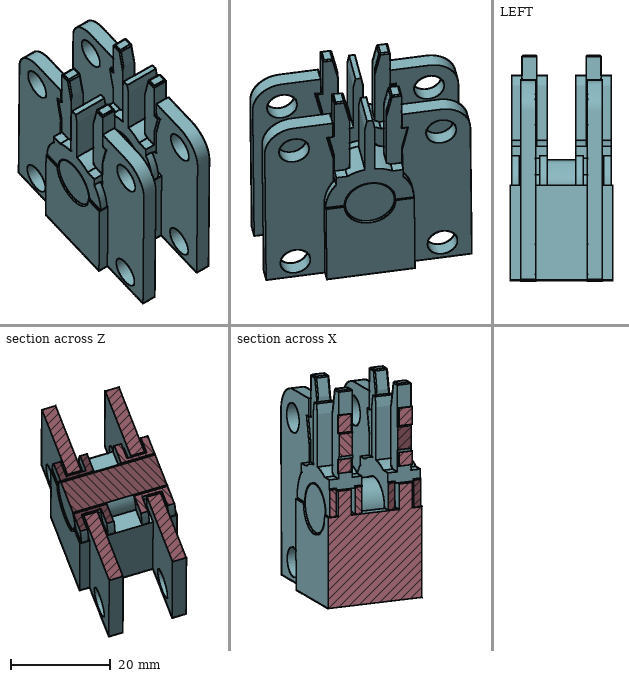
import cadquery as cq


base_tilt = 0.5
base_length = 20.6
block_width = 18.0
base_bottom = -19.1
block_top = -0.1
plate_top = 21.0
plate_thickness = 3.0
plate_offset = 6.7
screw_hole_diameter = 6.1
screw_spacing = 30.0
screw_edge = 6.0
bore_radius = 5.2

pin_radius = 10.0 / 2
pin_rise = 0.1

clip_thickness = 7.15
clip_offset = 6.45
dome_radius = 9.0
shoulder_top = 7.75
arm_outer = 6.85
arm_inner = 3.75
arm_tip_inner = 4.65
arm_top = 26.05
arm_taper_start = 22.03
arm_thickness = 3.05
arm_bevel = 0.25
barb_tip = 8.05
barb_top = 17.15
barb_root = 11.65
fin_half_width = 1.0
fin_tip_half_width = 0.6
fin_top = 22.03
fin_taper_start = 19.95
slot_width = 4.1
slot_inner = 4.75
slot_ledge = 5.45

pin_length = 2 * clip_offset + clip_thickness

clearance = 0.23
barb_clearance = 0.1

sides = (-1, 1)


def extrude_along_y(points, thickness, y_middle=0.0):
    """Prism over an XZ polygon, centred on y_middle."""
    far_face = (0, y_middle + thickness / 2, 0)
    return cq.Workplane("XZ", origin=far_face).polyline(points).close().extrude(thickness)


def box_between(x_range, y_range, z_range):
    """Box given by its lower and upper limit on each axis."""
    lows, highs = zip(x_range, y_range, z_range)
    size = [high - low for low, high in zip(lows, highs)]
    return cq.Workplane("XY").box(*size, centered=False).translate(lows)


def cylinder_along_y(radius, length, x=0.0, y_middle=0.0, z=0.0):
    """Cylinder in the Y direction, centred on (x, y_middle, z)."""
    return cq.Workplane("XZ", origin=(x, y_middle + length / 2, z)).circle(radius).extrude(length)


def mirrored(points):
    """Closed outline made of a right half, listed from bottom to top, and its mirror image."""
    return points + [(-x, z) for x, z in reversed(points)]


def make_plate(y_middle):
    """Side plate with rounded upper corners, screw holes and the opening for a clip."""
    half_width = screw_spacing / 2 + screw_edge
    plate = extrude_along_y(
        mirrored([(half_width, base_bottom), (half_width, plate_top)]), plate_thickness, y_middle
    )
    plate = plate.edges("|Y and >Z").fillet(screw_edge)

    hole_top = plate_top - screw_edge
    for z in (hole_top, hole_top - screw_spacing):
        for side in sides:
            plate = plate.cut(
                cylinder_along_y(
                    screw_hole_diameter / 2, 2 * plate_thickness, side * screw_spacing / 2, y_middle, z
                )
            )

    ledge_inner = slot_inner + clearance
    ledge_top = slot_ledge - clearance
    opening_half = arm_outer + clearance
    catch_height = barb_top + barb_clearance
    opening = extrude_along_y(
        mirrored([
            (ledge_inner, block_top),
            (ledge_inner, ledge_top),
            (opening_half, ledge_top),
            (opening_half, barb_root),
            (barb_tip + clearance, catch_height),
            (opening_half, catch_height),
            (opening_half, plate_top),
        ]),
        2 * plate_thickness,
        y_middle,
    )
    return plate.cut(opening)


def make_base():
    """Block and plates in one piece, bored for the pin and tilted around the bore."""
    half_length = base_length / 2
    base = box_between(
        (-block_width / 2, block_width / 2), (-half_length, half_length), (base_bottom, block_top)
    )
    for side in sides:
        base = base.union(make_plate(side * plate_offset))
    base = base.cut(cylinder_along_y(bore_radius, 2 * base_length))
    return base.rotate((0, 0, 0), (0, 1, 0), base_tilt)


def make_arm():
    """Snap arm on the +X side, with an outward barb and a bevelled tip that tapers on its inner side."""
    arm = extrude_along_y(
        [
            (arm_inner, slot_ledge),
            (arm_outer, slot_ledge),
            (arm_outer, barb_root),
            (barb_tip, barb_top),
            (arm_outer, barb_top),
            (arm_outer, arm_top),
            (arm_tip_inner, arm_top),
            (arm_inner, arm_taper_start),
        ],
        arm_thickness,
    )
    taper_middle = ((arm_inner + arm_tip_inner) / 2, 0, (arm_taper_start + arm_top) / 2)
    taper_face = arm.faces(cq.NearestToPointSelector(taper_middle))
    tip_edges = arm.faces(">Z").edges().add(taper_face.edges("not |Y"))
    return tip_edges.chamfer(arm_bevel)


def make_clip(y_middle):
    """Half-round saddle over the pin with a centre fin, two snap arms and plate slots."""
    dome = cylinder_along_y(dome_radius, clip_thickness)
    shoulders = extrude_along_y(
        mirrored([(arm_outer, 0), (arm_outer, shoulder_top)]), clip_thickness
    )
    fin = extrude_along_y(
        mirrored([
            (fin_half_width, 0),
            (fin_half_width, fin_taper_start),
            (fin_tip_half_width, fin_top),
        ]),
        clip_thickness,
    )
    clip = dome.union(shoulders).union(fin)
    clip = clip.intersect(
        box_between(
            (-dome_radius, dome_radius), (-clip_thickness, clip_thickness), (0, fin_top)
        )
    )

    slot = extrude_along_y(
        [
            (slot_inner, 0),
            (dome_radius, 0),
            (dome_radius, shoulder_top),
            (arm_outer, shoulder_top),
            (arm_outer, slot_ledge),
            (slot_inner, slot_ledge),
        ],
        slot_width,
    )
    arm = make_arm()
    clip = clip.cut(slot).cut(slot.mirror("YZ"))
    clip = clip.union(arm).union(arm.mirror("YZ"))
    clip = clip.cut(cylinder_along_y(bore_radius, 2 * clip_thickness))
    return clip.translate((0, y_middle, 0))


base = make_base()
pin = cylinder_along_y(pin_radius, pin_length, z=pin_rise)
clips = [make_clip(side * clip_offset) for side in sides]

result = cq.Compound.makeCompound([base.val(), pin.val(), *[clip.val() for clip in clips]])